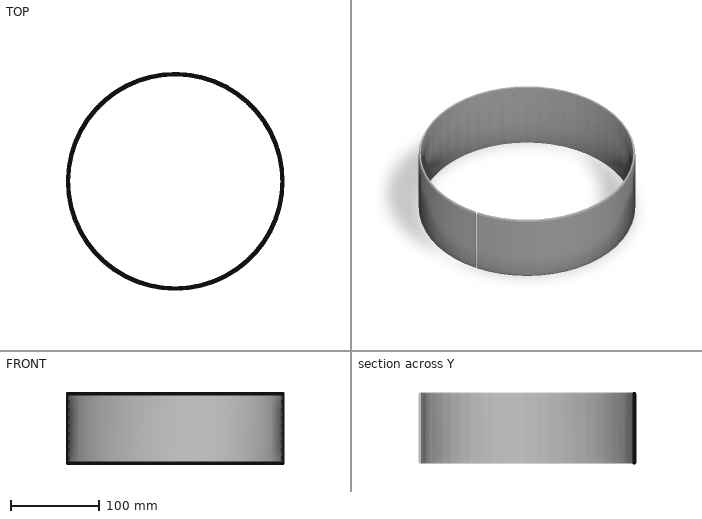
import cadquery as cq

outer_diameter = 245.0
height = 80.0
wall = 2.5
outer_bevel_drop = 1.7
outer_bevel_inset = 0.65
inner_bevel_drop = 0.7
inner_bevel_inset = 0.2
slit_width = 2.0

outer_radius = outer_diameter / 2
inner_radius = outer_radius - wall
half_height = height / 2


def ring():
    """Revolve the wall section, beveled on both edges of both rims."""
    rim_outer_radius = outer_radius - outer_bevel_inset
    rim_inner_radius = inner_radius + inner_bevel_inset
    outer_bevel_start = half_height - outer_bevel_drop
    inner_bevel_start = half_height - inner_bevel_drop
    section = [
        (rim_inner_radius, -half_height),
        (rim_outer_radius, -half_height),
        (outer_radius, -outer_bevel_start),
        (outer_radius, outer_bevel_start),
        (rim_outer_radius, half_height),
        (rim_inner_radius, half_height),
        (inner_radius, inner_bevel_start),
        (inner_radius, -inner_bevel_start),
    ]
    return cq.Workplane("XZ").polyline(section).close().revolve(360, (0, 0), (0, 1))


def slit():
    """Full-height cutter through the wall on the -X side."""
    return (
        cq.Workplane("XY")
        .box(2 * wall, slit_width, height, centered=(True, False, True))
        .translate((wall / 2 - outer_radius, 0, 0))
    )


result = ring().cut(slit())